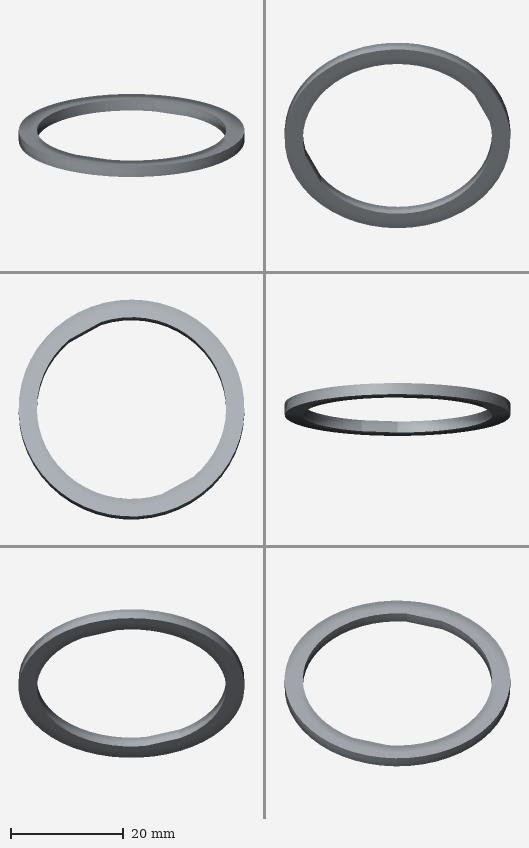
import cadquery as cq

outer_diameter = 40.0
thickness = 2.0
bore_diameter = 33.5
across_flats = 32.9

ring_blank = cq.Workplane("XY").circle(outer_diameter / 2).extrude(thickness)

round_bore = cq.Workplane("XY").circle(bore_diameter / 2).extrude(thickness)
flats_band = cq.Workplane("XY").rect(bore_diameter, across_flats).extrude(thickness)
bore = round_bore.intersect(flats_band)

result = ring_blank.cut(bore)